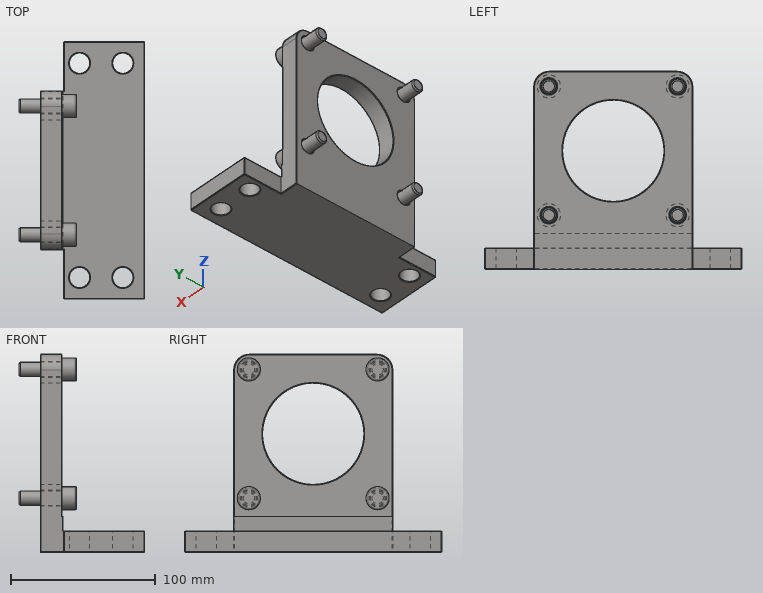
import cadquery as cq
overall_length = 87.0
base_width = 178
overall_height = 137
edge_chamfer = 0.5

base_thickness = 15.0
base_length = 56.0
base_front = overall_length - base_length
base_hole_diameter = 14.0
base_hole_y = 74.0
base_hole_columns = (42.0, 72.0)

plate_front = 15.0
plate_thickness = 15.0
plate_rear = plate_front + plate_thickness
plate_width = 110.0
corner_radius = 11.0
bore_diameter = 70.0
bore_height = 82.0
foot_height = 25
foot_step = 0.5

bolt_offset = 44.5
shank_diameter = 10.0
clearance_diameter = 11.0
tip_chamfer = 1.0
head_diameter = 16
head_height = 10.0
head_fillet = 0.9


def block(start_x, end_x, width, height):
    """Box standing on the ground plane, centred on Y."""
    return (
        cq.Workplane("XY")
        .box(end_x - start_x, width, height, centered=(False, True, False))
        .translate((start_x, 0, 0))
    )


def rod(start_x, y, z, diameter, length):
    """Cylinder along +X starting at the given point."""
    return cq.Workplane("YZ", origin=(start_x, y, z)).circle(diameter / 2).extrude(length)


def hole_cutter(axis_plane, origin, diameter, depth):
    """Through-hole tool that also chamfers the rim at both ends of the hole."""
    radius = diameter / 2
    rim_radius = radius + edge_chamfer
    start = cq.Workplane(axis_plane, origin=origin)
    end = start.workplane(offset=depth)
    cutter = start.circle(radius).extrude(depth)
    entry = start.circle(rim_radius).workplane(offset=edge_chamfer).circle(radius).loft()
    leave = end.circle(rim_radius).workplane(offset=-edge_chamfer).circle(radius).loft()
    return cutter.union(entry).union(leave)


def make_base():
    """Flat base with all edges broken and two mounting holes near each end."""
    base = block(base_front, overall_length, base_width, base_thickness).edges().chamfer(edge_chamfer)
    for x in base_hole_columns:
        for y in (-base_hole_y, base_hole_y):
            base = base.cut(hole_cutter("XY", (x, y, 0), base_hole_diameter, base_thickness))
    return base


def make_upright():
    """Plate with rounded top corners, its foot, and the joint that fills the seam to the base."""
    plate = block(plate_front, plate_rear, plate_width, overall_height)
    plate = plate.edges("|X and >Z").fillet(corner_radius)
    plate = plate.faces("<X or >X").edges("not <Z").chamfer(edge_chamfer)

    core_front = plate_front + edge_chamfer
    foot = block(core_front, plate_rear + foot_step, plate_width, foot_height)
    joint = block(core_front, base_front + edge_chamfer, plate_width, base_thickness)
    upright = plate.union(foot).union(joint)
    upright = upright.edges("|X and <Z").chamfer(edge_chamfer)
    return upright.cut(hole_cutter("YZ", (plate_front, 0, bore_height), bore_diameter, plate_thickness))


def make_bolt(y, z):
    """Bolt with its head seated on the rear of the plate and its tip pointing to -X."""
    shank = rod(0, y, z, shank_diameter, plate_rear).faces("<X").chamfer(tip_chamfer)
    head = rod(plate_rear, y, z, head_diameter, head_height).faces(">X").edges().fillet(head_fillet)
    return shank.union(head)


result = make_base().union(make_upright())
for y in (-bolt_offset, bolt_offset):
    for z in (bore_height - bolt_offset, bore_height + bolt_offset):
        clearance = hole_cutter("YZ", (plate_front, y, z), clearance_diameter, plate_thickness)
        result = result.cut(clearance).union(make_bolt(y, z))